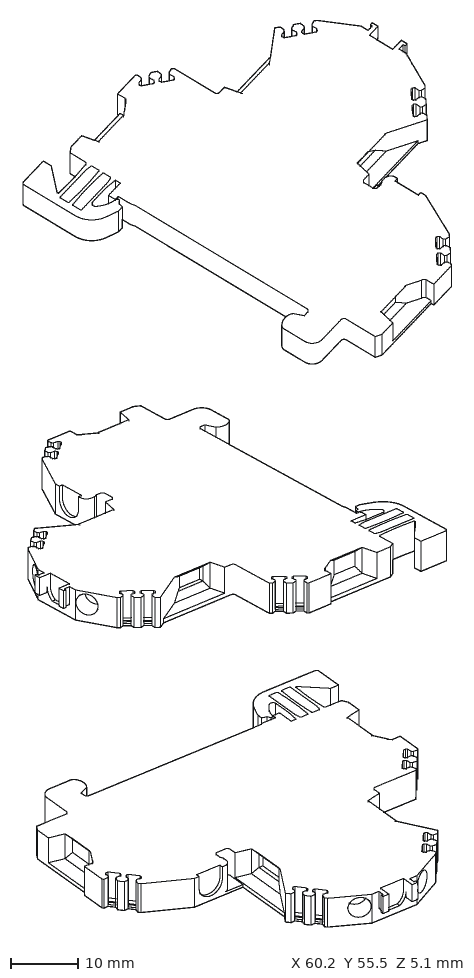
import cadquery as cq
import math

thickness = 5.1
total_height = 55.45
floor_thickness = 0.7
corner_radius = 0.25
shelf_fillet = 0.5

upper_center = 26.6
upper_wall = 13.5
upper_flat = 4.2
upper_top = 53.95
shoulder_top = 34.5
shoulder_flat_end = 18.5

lower_center = 30.7
lower_wing = 29.5
lower_wall = 29.0
wing_bottom = 22.0
lower_bottom = 8.9
bottom_chamfer_x = 0.55
bottom_chamfer_y = 0.95

marker_angle = math.radians(49.8)
marker_pitch = 3.1
upper_marker = (10.6, 49.3)
lower_marker = (26.2, 29.3)
tooth_height = 0.6
tooth_taper = 0.4
mouth_half_width = 0.6
mouth_depth = 0.6
mouth_floor = 0.35
pocket_floor = 0.55
pocket_half_width = 1.15
pocket_depth = 1.5
edge_start = -1.5
upper_edge_end = 4.95
lower_edge_end = 4.4

entry_slope = 0.59
upper_rim = 10.9
lower_rim = 26.35
lower_rim_top = 19.4
funnel_depth = 0.9
throat_depth = 0.7
throat_taper = 0.9
funnel_floor = 1.8
funnel_ceiling = 4.3
funnel_rise = 0.65
lip_drop = 0.6

screw_diameter = 3.5
screw_depth = 3.6
screw_center_height = 3.0
screw_center_half_width = 5.85
recess_width = 4.35
recess_depth = 0.6
upper_recess_floor = 1.1
shoulder_recess_floor = screw_center_height - recess_width / 2
shoulder_recess_center = 46.1

clip_bottom = 2.1
clip_inner = 2.15
clip_outer = 2.9
clip_hook = 3.25
clip_hook_height = 0.5

rail_level = 6.9
rail_pad_level = 6.75
foot_arm_top = 5.3
foot_overlap = 0.6
slot_bottom = 1.3


def place(center, side, point):
    """Turn (half width, height) on one side of a centre line into (x, y)."""
    return (center + side * point[0], point[1])


def marker_point(origin, along, inward):
    """Point in a marker edge's frame: along the edge downwards, and into the plate."""
    c = math.cos(marker_angle)
    s = math.sin(marker_angle)
    return (origin[0] + along * c - inward * s, origin[1] - along * s - inward * c)


def prism(points, bottom, top):
    return cq.Workplane("XY").workplane(offset=bottom).polyline(points).close().extrude(top - bottom)


def box(x0, x1, y0, y1, z0, z1):
    return cq.Workplane("XY").box(x1 - x0, y1 - y0, z1 - z0, centered=False).translate((x0, y0, z0))


upper_slope_end = marker_point(upper_marker, edge_start, -tooth_height)
upper_tip = marker_point(upper_marker, upper_edge_end, -tooth_height)
lower_slope_end = marker_point(lower_marker, edge_start, -tooth_height)
lower_tip = (lower_wing, marker_point(lower_marker, lower_edge_end, -tooth_height)[1])
tip_foot = (upper_wall, upper_tip[1] - (upper_tip[0] - upper_wall) / entry_slope)
shelf_level = lower_slope_end[1]
upper_rim_top = upper_tip[1] - (upper_tip[0] - upper_rim) / entry_slope


def body():
    """Housing outline without the rail feet, at full thickness."""
    upper_half = [(upper_flat, upper_top), upper_slope_end, upper_tip, tip_foot]
    lower_half = [
        lower_slope_end,
        lower_tip,
        (lower_wing, wing_bottom),
        (lower_wall, wing_bottom),
        (lower_wall, lower_bottom + bottom_chamfer_y),
        (lower_wall - bottom_chamfer_x, lower_bottom),
    ]
    right = [place(upper_center, 1, p) for p in upper_half]
    right += [(upper_center + upper_wall, shoulder_top)]
    right += [(lower_center + shoulder_flat_end, shoulder_top)]
    right += [place(lower_center, 1, p) for p in lower_half]
    left = [place(lower_center, -1, p) for p in reversed(lower_half)]
    left += [(upper_center - upper_wall, shelf_level)]
    left += [place(upper_center, -1, p) for p in reversed(upper_half)]
    inner_corner = (upper_center - upper_wall, shelf_level, thickness / 2)
    plate = prism(right + left, 0, thickness)
    return plate.edges(cq.selectors.NearestToPointSelector(inner_corner)).fillet(shelf_fillet)


def fixed_foot():
    """Rigid rail hook on the right, with the rail seat above it."""
    seat_left = 11.6
    pad_left = 12.9
    pad_right = 15.25
    pad_bottom = 6.0
    ramp_run = 0.65
    hook_left = 46.35
    hook_right = 53.2
    heel_radius = 1.85
    hook_bottom = 1.85
    throat = 48.4
    throat_bottom = 5.65
    root_radius = 0.55
    return (
        cq.Workplane("XY")
        .moveTo(seat_left, lower_bottom + foot_overlap)
        .lineTo(seat_left, pad_bottom)
        .lineTo(pad_left, pad_bottom)
        .lineTo(pad_left, rail_pad_level)
        .lineTo(pad_right, rail_pad_level)
        .lineTo(pad_right + ramp_run, rail_level)
        .lineTo(throat - shelf_fillet, rail_level)
        .radiusArc((throat, rail_level - shelf_fillet), shelf_fillet)
        .lineTo(throat, throat_bottom)
        .lineTo(46.8, 4.95)
        .threePointArc((hook_left, 3.8), (46.7, 2.35))
        .threePointArc((47.1, 2.0), (47.75, hook_bottom))
        .lineTo(hook_right - heel_radius, hook_bottom)
        .radiusArc((hook_right, hook_bottom + heel_radius), -heel_radius)
        .lineTo(hook_right, lower_bottom - root_radius)
        .radiusArc((hook_right + root_radius, lower_bottom), root_radius)
        .lineTo(hook_right + root_radius, lower_bottom + foot_overlap)
        .close()
        .extrude(thickness)
    )


def spring_foot():
    """Flexible rail latch on the left, hanging on three thin legs."""
    leg_left = 5.4
    leg_waist = 5.55
    root_radius = 0.35
    leg_right = 10.7
    inner_edge = 10.5
    arm_bottom = 1.85
    toe_radius = 0.4
    claw_right = 14.55
    claw_top = 6.3
    return (
        cq.Workplane("XY")
        .moveTo(leg_left - root_radius, lower_bottom + foot_overlap)
        .lineTo(leg_left - root_radius, lower_bottom)
        .radiusArc((leg_left, lower_bottom - root_radius), root_radius)
        .threePointArc((leg_waist, 5.4), (leg_left, arm_bottom))
        .lineTo(5.2, arm_bottom)
        .lineTo(1.5, foot_arm_top)
        .lineTo(0, foot_arm_top)
        .lineTo(0, toe_radius)
        .radiusArc((toe_radius, 0), -toe_radius)
        .lineTo(10.2, 0)
        .threePointArc((12.4, 0.85), (13.8, 2.65))
        .lineTo(claw_right, 4.6)
        .lineTo(claw_right, 5.55)
        .lineTo(13.7, 5.8)
        .lineTo(13.4, claw_top)
        .lineTo(13.0, claw_top)
        .lineTo(12.75, 5.3)
        .threePointArc((12.3, 4.35), (11.55, 3.45))
        .threePointArc((10.95, 3.15), (inner_edge, 3.55))
        .lineTo(inner_edge, 6.9)
        .lineTo(leg_right, lower_bottom)
        .lineTo(leg_right, lower_bottom + foot_overlap)
        .close()
        .extrude(thickness)
    )


def spring_slots():
    """The two slots that separate the legs; the middle leg is waisted."""
    middle_leg = 8.05
    outer_half = 2.0
    inner_half = 0.35
    waist = 0.15
    top_inset = 0.2
    flare_level = 7.8
    slots = cq.Workplane("XY")
    for side in (-1, 1):
        slot = (
            cq.Workplane("XY")
            .moveTo(middle_leg + side * inner_half, slot_bottom)
            .threePointArc(
                (middle_leg + side * (inner_half - waist), (slot_bottom + lower_bottom) / 2),
                (middle_leg + side * inner_half, lower_bottom),
            )
            .lineTo(middle_leg + side * (outer_half - top_inset), lower_bottom)
            .lineTo(middle_leg + side * outer_half, flare_level)
            .lineTo(middle_leg + side * outer_half, slot_bottom)
            .close()
            .extrude(thickness)
            .edges("|Z")
            .fillet(corner_radius / 2)
        )
        slots = slots.add(slot)
    return slots.combine()


def marker_slots(center, side, origin):
    """Two tapered notches, each leading into a narrow mouth and a wider blind pocket."""
    notch_height = 1.5 * tooth_height
    notch_half_width = mouth_half_width + tooth_taper * notch_height / tooth_height
    notch = [
        (-notch_half_width, -notch_height),
        (-mouth_half_width, 0),
        (mouth_half_width, 0),
        (notch_half_width, -notch_height),
    ]
    mouth = [
        (-mouth_half_width, 0),
        (-mouth_half_width, mouth_depth),
        (mouth_half_width, mouth_depth),
        (mouth_half_width, 0),
    ]
    shoulder = pocket_half_width - mouth_half_width
    half_pocket = [
        (mouth_half_width, mouth_depth - corner_radius),
        (pocket_half_width, mouth_depth - corner_radius + shoulder),
        (pocket_half_width, pocket_depth - corner_radius),
        (pocket_half_width - corner_radius, pocket_depth),
    ]
    pocket = half_pocket + [(-along, inward) for along, inward in reversed(half_pocket)]
    cuts = []
    for start in (0, marker_pitch):
        for shape, floor in ((notch, 0), (mouth, mouth_floor), (pocket, pocket_floor)):
            corners = [marker_point(origin, start + along, inward) for along, inward in shape]
            cuts.append(prism([place(center, side, p) for p in corners], floor, thickness))
    return cuts


def entry_funnel(center, side, rim, low, high, throat):
    """Tapered opening behind a wire entry, with an optional straight throat."""
    back = rim - funnel_depth
    back_low = low + funnel_rise
    back_high = high - funnel_depth / entry_slope
    rim_plane = cq.Plane(origin=(center + side * rim, 0, 0), xDir=(0, 1, 0), normal=(-side, 0, 0))
    z_sign = -side

    def rectangle(y0, y1, z0, z1):
        return [(y0, z_sign * z0), (y1, z_sign * z0), (y1, z_sign * z1), (y0, z_sign * z1)]

    funnel = (
        cq.Workplane(rim_plane)
        .polyline(rectangle(low, high, floor_thickness, thickness))
        .close()
        .workplane(offset=funnel_depth)
        .polyline(rectangle(back_low, back_high, funnel_floor, funnel_ceiling))
        .close()
        .loft(ruled=True)
    )
    cuts = [funnel]
    if throat > 0:
        corners = [
            (back, back_low),
            (back, back_high),
            (back - throat, back_high - throat_taper),
            (back - throat, back_low),
        ]
        cuts.append(prism([place(center, side, p) for p in corners], funnel_floor, funnel_ceiling))
    return cuts


def upper_entry(side):
    """Wire entry in an upper side wall."""
    rim_low = 33.2
    corners = [
        tip_foot,
        (upper_rim, upper_rim_top),
        (upper_rim, rim_low),
        (upper_wall, rim_low - lip_drop),
    ]
    opening = prism([place(upper_center, side, p) for p in corners], floor_thickness, thickness)
    return [opening] + entry_funnel(upper_center, side, upper_rim, rim_low, upper_rim_top, throat_depth)


def lower_entry(side):
    """Wire entry in a lower side wall."""
    rim_low = 13.1
    round_height = 0.55
    round_run = 0.5
    guide_top = wing_bottom - round_height
    guide_start = lower_rim + (guide_top - lower_rim_top) * entry_slope
    outline = [
        (lower_wall, wing_bottom),
        (guide_start + round_run, wing_bottom),
        (guide_start + round_run * 0.4, wing_bottom - round_height * 0.3),
        (guide_start, guide_top),
        (lower_rim, lower_rim_top),
        (lower_rim, rim_low),
        (lower_wall, rim_low - lip_drop),
    ]
    wall, round_start, round_middle, round_end, rim_top, rim_bottom, lip = [
        place(lower_center, side, p) for p in outline
    ]
    opening = (
        cq.Workplane("XY")
        .workplane(offset=floor_thickness)
        .moveTo(*wall)
        .lineTo(*round_start)
        .threePointArc(round_middle, round_end)
        .lineTo(*rim_top)
        .lineTo(*rim_bottom)
        .lineTo(*lip)
        .close()
        .extrude(thickness - floor_thickness)
    )
    return [opening] + entry_funnel(lower_center, side, lower_rim, rim_low, lower_rim_top, 0)


def corner_pocket():
    """Undercut pocket between the right upper wall and the right shoulder."""
    left = upper_center + upper_wall
    neck = 42.4
    right = 42.6
    radius = 0.5
    pocket_level = 0.5
    neck_bottom = 32.7
    neck_top = 33.5
    bulb_top = 32.15
    return (
        cq.Workplane("XY")
        .workplane(offset=pocket_level)
        .moveTo(left, shoulder_top)
        .lineTo(left, shelf_level + radius)
        .radiusArc((left + radius, shelf_level), -radius)
        .lineTo(right - radius, shelf_level)
        .radiusArc((right, shelf_level + radius), -radius)
        .lineTo(right, bulb_top)
        .lineTo(neck, neck_bottom)
        .lineTo(neck, neck_top)
        .threePointArc((42.7, 34.15), (43.35, shoulder_top))
        .close()
        .extrude(thickness - pocket_level)
    )


def tool_recess(center_x, top, floor):
    """Shallow U-shaped recess in an upward-facing edge, flattened where the floor cuts the round."""
    radius = recess_width / 2
    back = top - recess_depth
    center = cq.Vector(center_x, back, screw_center_height)
    round_end = cq.Workplane(cq.Solid.makeCylinder(radius, recess_depth, center, cq.Vector(0, 1, 0)))
    channel = box(center_x - radius, center_x + radius, back, top, screw_center_height, thickness)
    keep = box(center_x - radius, center_x + radius, back, top, floor, thickness)
    return round_end.union(channel).intersect(keep)


def screw_hole(side):
    """Blind hole square to an upper sloping edge."""
    run = upper_slope_end[0] - upper_flat
    fall = upper_top - upper_slope_end[1]
    length = math.hypot(run, fall)
    center_y = upper_top - (screw_center_half_width - upper_flat) * fall / run
    center = cq.Vector(upper_center + side * screw_center_half_width, center_y, screw_center_height)
    inward = cq.Vector(-side * fall / length, -run / length, 0)
    return cq.Workplane(cq.Solid.makeCylinder(screw_diameter / 2, screw_depth, center, inward))


def clip(side):
    """Hooked clip standing on the upper flat."""
    hook_bottom = total_height - clip_hook_height
    root = upper_top - recess_depth
    corners = [
        (clip_inner, root),
        (clip_inner, total_height),
        (clip_hook, total_height),
        (clip_hook, hook_bottom),
        (clip_outer, hook_bottom),
        (clip_outer, root),
    ]
    return prism([place(upper_center, side, p) for p in corners], clip_bottom, thickness)


result = body().union(fixed_foot()).union(spring_foot()).cut(spring_slots())

cuts = [
    corner_pocket(),
    tool_recess(upper_center, upper_top, upper_recess_floor),
    tool_recess(shoulder_recess_center, shoulder_top, shoulder_recess_floor),
]
for side in (-1, 1):
    cuts += marker_slots(upper_center, side, upper_marker)
    cuts += marker_slots(lower_center, side, lower_marker)
    cuts += upper_entry(side)
    cuts += lower_entry(side)
    cuts.append(screw_hole(side))
for cut in cuts:
    result = result.cut(cut)

for side in (-1, 1):
    result = result.union(clip(side))